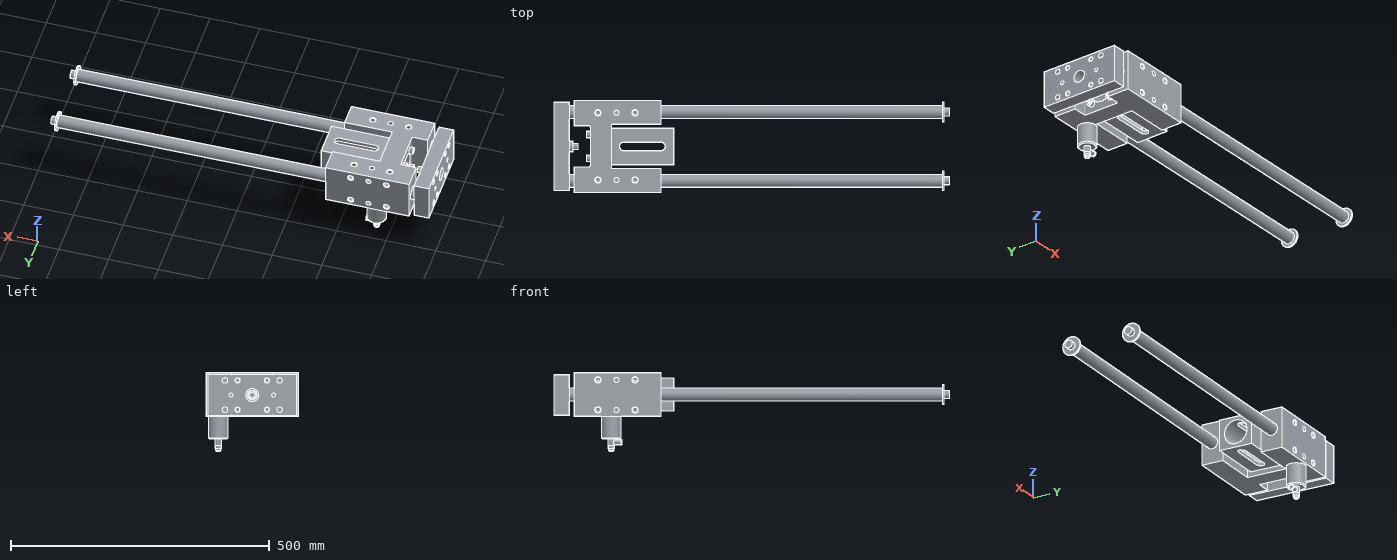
import cadquery as cq
import math

overall_length = 764.0

rod_diameter = 25.0
rod_spacing = 133.0
rod_ring_x = 750.0
rod_ring_thickness = 3.0
rod_ring_diameter = 38.0
rod_stub_diameter = 16.0
rod_y = rod_spacing / 2

plate_thickness = 30.0
plate_width = 171.0
plate_height = 79.0
plate_z = -1.15
plate_row_offset = 28.0
mount_hole_diameter = 11.0
mount_hole_y = 53.0
mount_hole_depth = 11.5
plate_mouth_diameter = 10.0
plate_tapped_diameter = 8.5
plate_tapped_y = 28.0
plate_dowel_diameter = 8.0
plate_dowel_y = 41.0
plate_dowel_depth = 11.5

bolt_recess_diameter = 25.0
bolt_recess_depth = 26.0
bolt_head_diameter = 18.0
bolt_head_height = 4.0
bolt_head_chamfer = 1.15
bolt_socket_diameter = 11.0
bolt_collar_diameter = 21.0
bolt_collar_length = 7.0
bolt_shank_diameter = 12.0
bolt_shank_length = 10.0

housing_x = 39.0
housing_length = 168.0
housing_width = 178.0
housing_height = 85.0
housing_top = housing_height / 2
front_notch_width = 79.5
front_notch_fillet = 3.0
rear_notch_width = 85.0
web_front_x = 70.0
web_thickness = 41.0
web_rear_x = web_front_x + web_thickness
housing_end_x = housing_x + housing_length

hole_centre_x = 121.0
hole_pitch = 36.0
top_hole_y = 65.0
side_hole_z = 29.0
side_row_z = -1.0
tapped_mouth_diameter = 12.0
tapped_diameter = 10.0
dowel_diameter = 10.0
hole_depth = 15.0
drill_point_angle = 118

block_end_x = 231.5
block_width = 71.0
block_height = 64.0
slot_start_x = 127.0
slot_end_x = 215.0
slot_width = 16.0

bore_diameter = 50.0
screw_offset = 23.0
screw_head_diameter = 13.0
screw_head_height = 8.0
screw_socket_diameter = 6.0
screw_socket_depth = 4.0

motor_x = 111.0
motor_y = 66.0
motor_diameter = 38.0
motor_length = 43.5
motor_chamfer = 2.0
unit_height = 152.0
connector_diameter = 13.0
connector_length = 13.0
connector_rim_diameter = 12.0
connector_rim_length = 5.0
connector_tip_diameter = 10.0
connector_tip_chamfer = 1.5
knob_z = -92.5
knob_stem_diameter = 10.0
knob_head_diameter = 11.0
knob_end_x = 131.5
knob_head_length = 2.0


def box(x_start, x_end, width, height, z_centre=0.0):
    """Box centred on Y = 0, from x_start to x_end."""
    return (
        cq.Workplane("XY")
        .box(x_end - x_start, width, height)
        .translate(((x_start + x_end) / 2, 0, z_centre))
    )


def cylinder(start, direction, diameter, length):
    """Solid cylinder that grows from start along direction."""
    return cq.Workplane(cq.Solid.makeCylinder(diameter / 2, length, cq.Vector(*start), cq.Vector(*direction)))


def along_x(x_start, x_end, y, z, diameter):
    return cylinder((x_start, y, z), (1, 0, 0), diameter, x_end - x_start)


def tapped_hole(start, direction, mouth_diameter, diameter):
    """Hole with a 45 degree countersunk mouth and a drill-point bottom, as a solid to cut."""
    start = cq.Vector(*start)
    direction = cq.Vector(*direction)
    radius = diameter / 2
    mouth_radius = mouth_diameter / 2
    point_height = radius / math.tan(math.radians(drill_point_angle / 2))
    mouth = cq.Solid.makeCone(mouth_radius, radius, mouth_radius - radius, start, direction)
    point = cq.Solid.makeCone(radius, 0, point_height, start + direction * hole_depth, direction)
    shaft = cq.Solid.makeCylinder(radius, hole_depth, start, direction)
    return cq.Workplane(shaft.fuse(mouth, point))


def make_rod(y):
    ring_end_x = rod_ring_x + rod_ring_thickness
    shaft = along_x(plate_thickness, rod_ring_x, y, 0, rod_diameter)
    ring = along_x(rod_ring_x, ring_end_x, y, 0, rod_ring_diameter)
    stub = along_x(ring_end_x, overall_length, y, 0, rod_stub_diameter)
    return shaft.union(ring).union(stub)


def make_plate():
    plate = box(0, plate_thickness, plate_width, plate_height, plate_z)
    inward = (1, 0, 0)
    for side in (-1, 1):
        dowel_start = (0, side * plate_dowel_y, plate_z)
        plate = plate.cut(cylinder(dowel_start, inward, plate_dowel_diameter, plate_dowel_depth))
        for level in (-1, 1):
            z = plate_z + level * plate_row_offset
            mount_start = (0, side * mount_hole_y, z)
            tapped_start = (0, side * plate_tapped_y, z)
            plate = plate.cut(cylinder(mount_start, inward, mount_hole_diameter, mount_hole_depth))
            plate = plate.cut(
                tapped_hole(tapped_start, inward, plate_mouth_diameter, plate_tapped_diameter)
            )
    return plate


def add_centre_bolt(plate):
    collar_end_x = plate_thickness + bolt_collar_length
    shank_end_x = collar_end_x + bolt_shank_length
    head_x = bolt_recess_depth - bolt_head_height
    plate = plate.cut(along_x(0, bolt_recess_depth, 0, plate_z, bolt_recess_diameter))
    head = along_x(head_x, bolt_recess_depth, 0, plate_z, bolt_head_diameter)
    head = head.faces("<X").chamfer(bolt_head_chamfer)
    head = head.cut(along_x(head_x, bolt_recess_depth, 0, plate_z, bolt_socket_diameter))
    collar = along_x(plate_thickness, collar_end_x, 0, plate_z, bolt_collar_diameter)
    shank = along_x(collar_end_x, shank_end_x, 0, plate_z, bolt_shank_diameter)
    return plate.union(head).union(collar).union(shank)


def make_carriage():
    carriage = add_centre_bolt(make_plate())
    for side in (-1, 1):
        carriage = carriage.union(make_rod(side * rod_y))
    return carriage


def make_housing_frame():
    frame = box(housing_x, housing_end_x, housing_width, housing_height)
    front_notch = box(housing_x, web_front_x, front_notch_width, housing_height)
    frame = frame.cut(front_notch.edges("|Z and >X").fillet(front_notch_fillet))
    frame = frame.cut(box(web_rear_x, housing_end_x, rear_notch_width, housing_height))
    for side in (-1, 1):
        frame = frame.cut(along_x(housing_x, housing_end_x, side * rod_y, 0, rod_diameter))
    return frame


def make_slotted_block():
    slot = (
        cq.Workplane("XY")
        .center((slot_start_x + slot_end_x) / 2, 0)
        .slot2D(slot_end_x - slot_start_x, slot_width)
        .extrude(block_height / 2, both=True)
    )
    return box(web_rear_x, block_end_x, block_width, block_height).cut(slot)


def cut_hole_row(body, y, z, direction):
    """Row along X: a dowel hole between two tapped holes."""
    for step in (-1, 1):
        start = (hole_centre_x + step * hole_pitch, y, z)
        body = body.cut(tapped_hole(start, direction, tapped_mouth_diameter, tapped_diameter))
    return body.cut(cylinder((hole_centre_x, y, z), direction, dowel_diameter, hole_depth))


def cut_face_holes(housing):
    for side in (-1, 1):
        housing = cut_hole_row(housing, side * top_hole_y, housing_top, (0, 0, -1))
        for level in (-1, 1):
            z = side_row_z + level * side_hole_z
            housing = cut_hole_row(housing, side * housing_width / 2, z, (0, -side, 0))
    return housing


def add_bore_and_screws(housing):
    housing = housing.cut(along_x(web_front_x, block_end_x, 0, 0, bore_diameter))
    head_x = web_front_x - screw_head_height
    for y in (-screw_offset, screw_offset):
        for z in (-screw_offset, screw_offset):
            head = along_x(head_x, web_front_x, y, z, screw_head_diameter)
            socket = along_x(head_x, head_x + screw_socket_depth, y, z, screw_socket_diameter)
            housing = housing.union(head.cut(socket))
    return housing


def make_motor():
    down = (0, 0, -1)
    motor_bottom = -housing_top - motor_length
    rim_z = motor_bottom - connector_length
    tip_z = rim_z - connector_rim_length
    tip_length = tip_z - (housing_top - unit_height)
    motor = cylinder((motor_x, motor_y, -housing_top), down, motor_diameter, motor_length)
    motor = motor.faces("<Z").chamfer(motor_chamfer)
    barrel = cylinder((motor_x, motor_y, motor_bottom), down, connector_diameter, connector_length)
    rim = cylinder((motor_x, motor_y, rim_z), down, connector_rim_diameter, connector_rim_length)
    tip = cylinder((motor_x, motor_y, tip_z), down, connector_tip_diameter, tip_length)
    tip = tip.faces("<Z").chamfer(connector_tip_chamfer)
    knob_stem = along_x(motor_x, knob_end_x, motor_y, knob_z, knob_stem_diameter)
    knob_head = along_x(knob_end_x - knob_head_length, knob_end_x, motor_y, knob_z, knob_head_diameter)
    for piece in (barrel, rim, tip, knob_stem, knob_head):
        motor = motor.union(piece)
    return motor


def make_housing():
    housing = make_housing_frame().union(make_slotted_block())
    housing = cut_face_holes(housing)
    housing = add_bore_and_screws(housing)
    return housing.union(make_motor())


carriage = make_carriage()
housing = make_housing()

result = cq.Compound.makeCompound([housing.val(), carriage.val()])